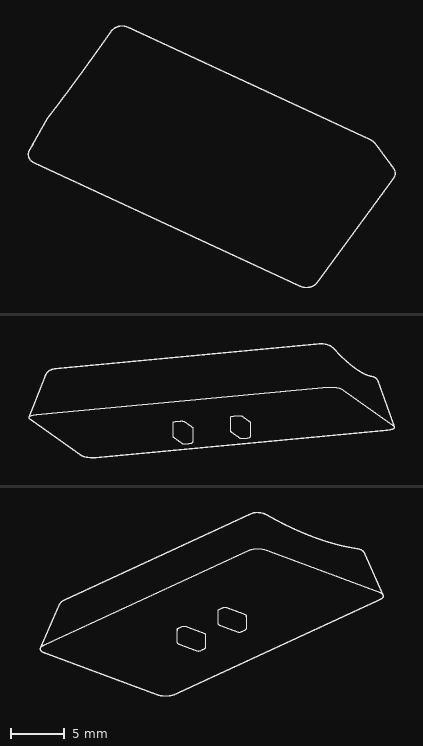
import cadquery as cq

length = 31.0
width = 16.5
blank_height = 5.58
wall_taper = 15.8
corner_radius = 1.25
rim_radius = 0.6

dish_floor = 4.03
dish_radius = 27.9

peg_spacing = 5.7
peg_length_x = 1.15
peg_length_y = 2.88
peg_height = 1.5
peg_side_radius = 0.3
peg_tip_radius = 0.25


def make_cap():
    """Tapered block with rounded corners, a dished top and a rounded rim."""
    block = cq.Workplane("XY").rect(length, width).extrude(blank_height, taper=wall_taper)
    block = block.edges("not(#Z or |X or |Y)").fillet(corner_radius)
    dish = (
        cq.Workplane("YZ")
        .center(0, dish_floor + dish_radius)
        .circle(dish_radius)
        .extrude(length, both=True)
    )
    return block.cut(dish).faces("%CYLINDER").faces(">Z").edges().fillet(rim_radius)


def make_peg(x):
    """Rounded rectangular peg hanging from the underside at the given X."""
    return (
        cq.Workplane("XY")
        .center(x, 0)
        .rect(peg_length_x, peg_length_y)
        .extrude(-peg_height)
        .edges("|Z")
        .fillet(peg_side_radius)
        .faces("<Z")
        .edges()
        .fillet(peg_tip_radius)
    )


result = make_cap()
for side in (-1, 1):
    result = result.union(make_peg(side * peg_spacing / 2))